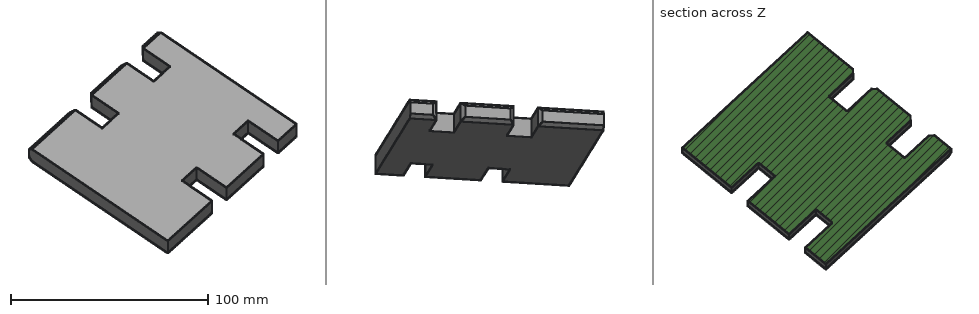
import cadquery as cq

length_x = 93.0
length_y = 100.0
thickness = 10.0

first_notch_offset = 20.0
notch_pitch = 40.0
notch_depth = 20.0
left_notch_width = 12.6
right_notch_width = 11.2

chamfer = 2.0

left_x = -length_x / 2
right_x = length_x / 2
notch_centres = [length_y / 2 - first_notch_offset - i * notch_pitch for i in range(2)]


def notch(edge_x, centre_y, width):
    """Through-cutter reaching notch_depth to either side of a plate edge."""
    return cq.Workplane("XY").box(2 * notch_depth, width, 2 * thickness).translate((edge_x, centre_y, 0))


def lead_in(centre_y):
    """Wedge that bevels both mouth corners of a left notch."""
    half_mouth = left_notch_width / 2 + chamfer
    half_throat = left_notch_width / 2
    return (
        cq.Workplane("XY")
        .polyline([
            (left_x, centre_y - half_mouth),
            (left_x + chamfer, centre_y - half_throat),
            (left_x + chamfer, centre_y + half_throat),
            (left_x, centre_y + half_mouth),
        ])
        .close()
        .extrude(thickness, both=True)
    )


plate = cq.Workplane("XY").box(length_x, length_y, thickness)
plate = plate.faces("<X").edges("|Y").chamfer(chamfer)

for notch_y in notch_centres:
    plate = plate.cut(notch(left_x, notch_y, left_notch_width))
    plate = plate.cut(notch(right_x, notch_y, right_notch_width))
    plate = plate.cut(lead_in(notch_y))

result = plate